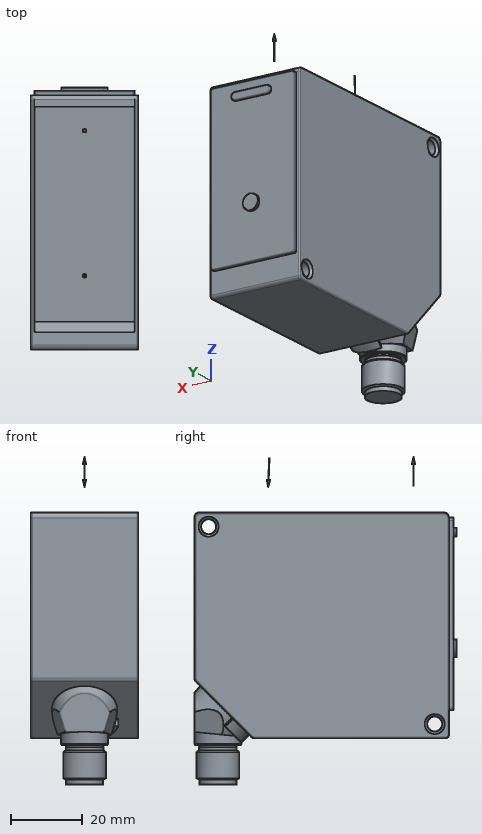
import cadquery as cq
import math

WIDTH = 30.0
DEPTH = 71.0
HEIGHT = 63.0
CUT = 16.3
CORNER_RADIUS = 1.5
REAR_BOTTOM_RADIUS = 1.0
CUT_BOTTOM_RADIUS = 1.2
SIDE_EDGE_RADIUS = 0.4

HOLE_DIAMETER = 4.13
COUNTERSINK_DIAMETER = 5.6
HOLE_EDGE_DISTANCE = 4.0

WINDOW_WIDTH = 28.0
LEDGE_DEPTH = 0.05
LEDGE_FRONT_Y = 67.8
WINDOW_REAR_DEPTH = 0.6
WINDOW_FRONT_DEPTH = 3.3
RAMP_BOTTOM_Y = 7.9
RAMP_TOP_Y = 5.0
WINDOW_EDGE_RADIUS = 0.3

PANEL_WIDTH = 28.0
PANEL_BOTTOM = 7.8
PANEL_TOP = 61.6
PANEL_THICKNESS = 1.25
PANEL_CORNER_RADIUS = 0.75
PANEL_EDGE_RADIUS = 0.25
CONTROL_HEIGHT = 0.9
BAR_WIDTH = 13.0
BAR_HEIGHT = 2.5
BAR_Z = 57.5
BAR_EDGE_RADIUS = 0.25
BUTTON_DIAMETER = 5.0
BUTTON_Z = 25.1

ELBOW_RADIUS = 9.15
ELBOW_TAPER = 3.0
ELBOW_LENGTH = 14.0
FLAT_OFFSET = 4.93
FLAT_SLOPE_Y = 0.29
FLAT_SLOPE_Z = 0.295
ELBOW_BOTTOM_Z = 1.8
ELBOW_BOTTOM_SLOPE = 0.1
ELBOW_FRONT_RADIUS = 0.25

KEY_RADIUS = 10.1
KEY_LENGTH = 3.1
KEY_START_ANGLE = -110.0
KEY_END_ANGLE = -22.0

COLLAR_DIAMETER = 13.2
COLLAR_BOTTOM = -1.85
COLLAR_CHAMFER = 0.3
NECK_DIAMETER = 10.4
NECK_RING_DIAMETER = 10.6
NECK_RING_TOP = -2.4
THREAD_DIAMETER = 12.0
THREAD_TOP = -3.3
THREAD_TOP_CHAMFER = 0.6
THREAD_BOTTOM = -11.5
THREAD_BOTTOM_CHAMFER = 0.4
PLUG_BOTTOM = -12.85

TOTAL_HEIGHT = 91.29
ARROW_LENGTH = 8.1
ARROW_HEAD_LENGTH = 2.0
ARROW_HEAD_DIAMETER = 1.0
ARROW_SHAFT_DIAMETER = 0.2
ARROW_TOP = PLUG_BOTTOM + TOTAL_HEIGHT
UP_ARROW_Y = 61.1
DOWN_ARROW_Y = 20.6
DOWN_ARROW_TOP = ARROW_TOP - 0.3
DOWN_ARROW_TILT = 2.3

OVERLAP = 0.5
CLEARANCE = 1.0


def side_prism(points, width):
    """Extrude a (Y, Z) outline along X, centred on X = 0."""
    return cq.Workplane("YZ").polyline(points).close().extrude(width / 2, both=True)


def housing_block():
    outline = [(CUT, 0), (DEPTH, 0), (DEPTH, HEIGHT), (0, HEIGHT), (0, CUT)]
    block = side_prism(outline, WIDTH)
    block = block.edges("|X and >Y and <Z").fillet(REAR_BOTTOM_RADIUS)
    block = block.edges("|X and <Z").edges("<Y").fillet(CUT_BOTTOM_RADIUS)
    rounded_corners = outline[2:]
    for y, z in rounded_corners:
        block = block.edges(cq.selectors.NearestToPointSelector((0, y, z))).fillet(CORNER_RADIUS)
    return block.faces("<X or >X").edges().fillet(SIDE_EDGE_RADIUS)


def mounting_holes():
    rise = (COUNTERSINK_DIAMETER - HOLE_DIAMETER) / 2
    outline = [
        (0, -WIDTH / 2),
        (COUNTERSINK_DIAMETER / 2, -WIDTH / 2),
        (HOLE_DIAMETER / 2, -WIDTH / 2 + rise),
        (HOLE_DIAMETER / 2, WIDTH / 2 - rise),
        (COUNTERSINK_DIAMETER / 2, WIDTH / 2),
        (0, WIDTH / 2),
    ]
    hole = cq.Workplane("XY").polyline(outline).close().revolve(360, (0, 0, 0), (0, 1, 0))
    hole = hole.rotate((0, 0, 0), (0, 0, 1), 90)
    front_top = hole.translate((0, HOLE_EDGE_DISTANCE, HEIGHT - HOLE_EDGE_DISTANCE))
    rear_bottom = hole.translate((0, DEPTH - HOLE_EDGE_DISTANCE, HOLE_EDGE_DISTANCE))
    return front_top.union(rear_bottom)


def window_recess():
    above = HEIGHT + CLEARANCE
    ramp_slope = (RAMP_BOTTOM_Y - RAMP_TOP_Y) / WINDOW_FRONT_DEPTH
    floor_recess = side_prism(
        [
            (RAMP_TOP_Y - ramp_slope * CLEARANCE, above),
            (RAMP_BOTTOM_Y, HEIGHT - WINDOW_FRONT_DEPTH),
            (LEDGE_FRONT_Y, HEIGHT - WINDOW_REAR_DEPTH),
            (LEDGE_FRONT_Y, above),
        ],
        WINDOW_WIDTH,
    )
    floor_recess = floor_recess.edges("not(>Z or |X)").fillet(WINDOW_EDGE_RADIUS)
    ledge = side_prism(
        [
            (LEDGE_FRONT_Y - OVERLAP, HEIGHT - LEDGE_DEPTH),
            (DEPTH, HEIGHT - LEDGE_DEPTH),
            (DEPTH, above),
            (LEDGE_FRONT_Y - OVERLAP, above),
        ],
        WINDOW_WIDTH,
    )
    return floor_recess.union(ledge)


def rear_feature(y):
    """A sketch plane at depth y whose extrusions point to the rear."""
    return cq.Workplane(cq.Plane((0, y, 0), (-1, 0, 0), (0, 1, 0)))


def operating_panel():
    panel_height = PANEL_TOP - PANEL_BOTTOM
    panel = (
        rear_feature(DEPTH - OVERLAP)
        .center(0, PANEL_BOTTOM + panel_height / 2)
        .rect(PANEL_WIDTH, panel_height)
        .extrude(PANEL_THICKNESS + OVERLAP)
        .edges("|Y")
        .fillet(PANEL_CORNER_RADIUS)
        .faces(">Y")
        .edges()
        .fillet(PANEL_EDGE_RADIUS)
    )
    controls_base = rear_feature(DEPTH + PANEL_THICKNESS - OVERLAP)
    bar = controls_base.center(0, BAR_Z).slot2D(BAR_WIDTH, BAR_HEIGHT).extrude(CONTROL_HEIGHT + OVERLAP)
    bar = bar.faces(">Y").edges().fillet(BAR_EDGE_RADIUS)
    button = controls_base.center(0, BUTTON_Z).circle(BUTTON_DIAMETER / 2).extrude(CONTROL_HEIGHT + OVERLAP)
    return panel.union(bar).union(button)


def elbow_base():
    """A plane just inside the cut face, square to the cone axis and pointing outward."""
    start = CUT / 2 + OVERLAP
    return cq.Workplane(cq.Plane((0, start, start), (1, 0, 0), (0, -1, -1)))


def elbow_key():
    def rim_point(angle):
        return (KEY_RADIUS * math.cos(math.radians(angle)), KEY_RADIUS * math.sin(math.radians(angle)))

    middle = rim_point((KEY_START_ANGLE + KEY_END_ANGLE) / 2)
    outline = elbow_base().lineTo(*rim_point(KEY_START_ANGLE)).threePointArc(middle, rim_point(KEY_END_ANGLE))
    return outline.close().extrude(KEY_LENGTH + OVERLAP * math.sqrt(2))


def elbow():
    cone = elbow_base().circle(ELBOW_RADIUS).extrude(ELBOW_LENGTH, taper=ELBOW_TAPER)
    rear = CUT + CLEARANCE
    top = CUT + CLEARANCE

    def half_width(y, z):
        return FLAT_OFFSET + FLAT_SLOPE_Y * y + FLAT_SLOPE_Z * z

    def envelope_section(y):
        bottom = ELBOW_BOTTOM_Z - ELBOW_BOTTOM_SLOPE * y
        low = half_width(y, bottom)
        high = half_width(y, top)
        corners = [(-low, y, bottom), (low, y, bottom), (high, y, top), (-high, y, top)]
        return cq.Wire.makePolygon([cq.Vector(*corner) for corner in corners], close=True)

    envelope = cq.Solid.makeLoft([envelope_section(0), envelope_section(rear)], True)
    body = cone.intersect(cq.Workplane(envelope))
    return body.faces("<Y").edges().fillet(ELBOW_FRONT_RADIUS).union(elbow_key())


def plug():
    neck = NECK_DIAMETER / 2
    neck_ring = NECK_RING_DIAMETER / 2
    thread = THREAD_DIAMETER / 2
    collar = COLLAR_DIAMETER / 2
    outline = [
        (0, PLUG_BOTTOM),
        (neck, PLUG_BOTTOM),
        (neck, THREAD_BOTTOM),
        (thread, THREAD_BOTTOM + THREAD_BOTTOM_CHAMFER),
        (thread, THREAD_TOP - THREAD_TOP_CHAMFER),
        (neck_ring, THREAD_TOP),
        (neck_ring, NECK_RING_TOP),
        (neck, NECK_RING_TOP),
        (neck, COLLAR_BOTTOM),
        (collar - COLLAR_CHAMFER, COLLAR_BOTTOM),
        (collar, COLLAR_BOTTOM + COLLAR_CHAMFER),
        (collar, ELBOW_BOTTOM_Z),
        (0, ELBOW_BOTTOM_Z),
    ]
    turned = cq.Workplane("XZ").polyline(outline).close().revolve(360, (0, 0, 0), (0, 1, 0))
    return turned.translate((0, collar, 0))


def beam_arrow():
    """An arrow along Z with its tip at the origin, pointing up."""
    shaft = ARROW_SHAFT_DIAMETER / 2
    outline = [
        (0, 0),
        (ARROW_HEAD_DIAMETER / 2, -ARROW_HEAD_LENGTH),
        (shaft, -ARROW_HEAD_LENGTH),
        (shaft, -ARROW_LENGTH),
        (0, -ARROW_LENGTH),
    ]
    return cq.Workplane("XZ").polyline(outline).close().revolve(360, (0, 0, 0), (0, 1, 0))


sensor = (
    housing_block()
    .cut(window_recess())
    .cut(mounting_holes())
    .union(operating_panel())
    .union(elbow())
    .union(plug())
)

up_arrow = beam_arrow().translate((0, UP_ARROW_Y, ARROW_TOP))

down_arrow = (
    beam_arrow()
    .rotate((0, 0, 0), (1, 0, 0), 180 - DOWN_ARROW_TILT)
    .translate((0, DOWN_ARROW_Y, DOWN_ARROW_TOP - ARROW_LENGTH))
)

result = cq.Compound.makeCompound([sensor.val(), up_arrow.val(), down_arrow.val()])